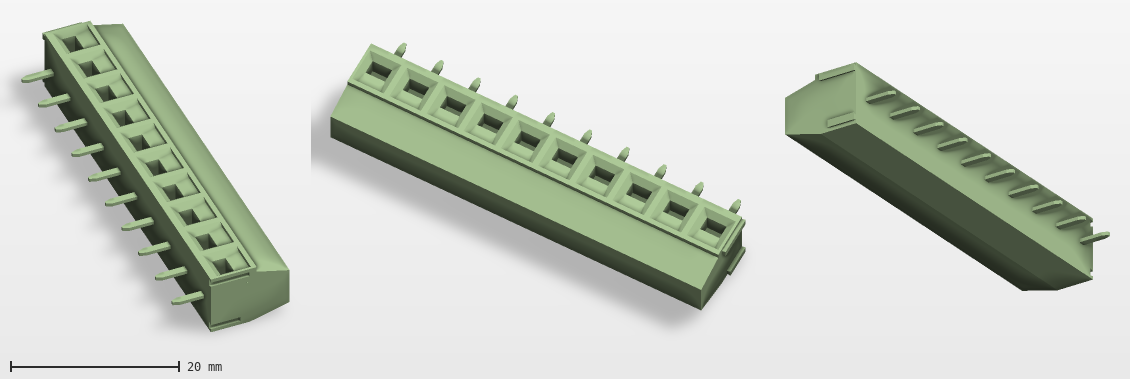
import cadquery as cq
import math


WAYS = 10
PITCH = 5.0
PIN_XS = [(way - (WAYS - 1) / 2) * PITCH for way in range(WAYS)]

HOUSING_LENGTH = 49.9
HOUSING_DEPTH = 10.15
HOUSING_HEIGHT = 8.1
TOP_LEDGE_DEPTH = 5.9
BOTTOM_FLAT_DEPTH = 5.05
LEDGE_STEP = 0.7
REAR_SLOPE = math.tan(math.radians(15))
X_LEFT = -HOUSING_LENGTH / 2
X_RIGHT = HOUSING_LENGTH / 2
Z_TOP = HOUSING_HEIGHT / 2
Z_BOTTOM = -HOUSING_HEIGHT / 2

WELL_WIDTH = 4.25
WELL_FRONT = 0.9
WELL_REAR = 5.3
FUNNEL_DEPTH = 0.65
FUNNEL_INSET = 0.8
RAMP_FOOT = 3.5
RAMP_TOP_DEPTH = 0.45
SHAFT_DEPTH = 3.05

DOVETAIL_HEIGHT = 0.5
DOVETAIL_WIDE = 0.95
DOVETAIL_NARROW = 0.6
DOVETAIL_EDGE_GAP = 0.3
TOP_DOVETAIL_LENGTH = 5.0
BOTTOM_DOVETAIL_LENGTH = 3.8

PIN_WIDTH = 0.9
PIN_THICKNESS = 0.45
PIN_LENGTH = 3.95
PIN_TIP_LENGTH = 0.75
PIN_TIP_WIDTH = 0.35
PIN_Z = -0.1

NUB_HEIGHT = 0.1
NUB_DIAMETER = 0.15
NUB_Y = 4.7
NUB_Z = 2.05


def make_housing():
    step_z = Z_TOP - LEDGE_STEP
    rear_top_z = step_z - (HOUSING_DEPTH - TOP_LEDGE_DEPTH) * REAR_SLOPE
    rear_bottom_z = Z_BOTTOM + (HOUSING_DEPTH - BOTTOM_FLAT_DEPTH) * REAR_SLOPE
    outline = [
        (0, Z_BOTTOM),
        (BOTTOM_FLAT_DEPTH, Z_BOTTOM),
        (HOUSING_DEPTH, rear_bottom_z),
        (HOUSING_DEPTH, rear_top_z),
        (TOP_LEDGE_DEPTH, step_z),
        (TOP_LEDGE_DEPTH, Z_TOP),
        (0, Z_TOP),
    ]
    return cq.Workplane("YZ", origin=(X_LEFT, 0, 0)).polyline(outline).close().extrude(HOUSING_LENGTH)


def make_well(x):
    """Cutter for one well; the side and front walls of the funnel lean in by the same amount."""
    funnel_floor = Z_TOP - FUNNEL_DEPTH
    shaft_front = WELL_FRONT + FUNNEL_INSET
    shaft_width = WELL_WIDTH - 2 * FUNNEL_INSET
    side_outline = [
        (WELL_FRONT, Z_TOP),
        (shaft_front, funnel_floor),
        (RAMP_FOOT, funnel_floor),
        (WELL_REAR, Z_TOP - RAMP_TOP_DEPTH),
        (WELL_REAR, Z_TOP),
    ]
    front_outline = [
        (x - WELL_WIDTH / 2, Z_TOP),
        (x - shaft_width / 2, funnel_floor),
        (x + shaft_width / 2, funnel_floor),
        (x + WELL_WIDTH / 2, Z_TOP),
    ]
    side = cq.Workplane("YZ", origin=(x, 0, 0)).polyline(side_outline).close()
    side = side.extrude(WELL_WIDTH / 2, both=True)
    front = cq.Workplane("XZ").polyline(front_outline).close().extrude(-HOUSING_DEPTH)
    shaft = cq.Workplane("XY").box(
        shaft_width, RAMP_FOOT - shaft_front, SHAFT_DEPTH - FUNNEL_DEPTH, centered=(True, False, False)
    )
    shaft = shaft.translate((x, shaft_front, Z_TOP - SHAFT_DEPTH))
    return side.intersect(front).union(shaft)


def make_dovetail(root_x, z, length):
    """Dovetail bar running back from the front face, widening toward -X from the root."""
    outline = [
        (root_x, z - DOVETAIL_NARROW / 2),
        (root_x, z + DOVETAIL_NARROW / 2),
        (root_x - DOVETAIL_HEIGHT, z + DOVETAIL_WIDE / 2),
        (root_x - DOVETAIL_HEIGHT, z - DOVETAIL_WIDE / 2),
    ]
    return cq.Workplane("XZ").polyline(outline).close().extrude(-length)


def make_pin(x):
    shoulder_y = -(PIN_LENGTH - PIN_TIP_LENGTH)
    outline = [
        (x - PIN_WIDTH / 2, 0),
        (x - PIN_WIDTH / 2, shoulder_y),
        (x - PIN_TIP_WIDTH / 2, -PIN_LENGTH),
        (x + PIN_TIP_WIDTH / 2, -PIN_LENGTH),
        (x + PIN_WIDTH / 2, shoulder_y),
        (x + PIN_WIDTH / 2, 0),
    ]
    pin = cq.Workplane("XY", origin=(0, 0, PIN_Z)).polyline(outline).close()
    return pin.extrude(PIN_THICKNESS / 2, both=True)


def make_nub():
    nub = cq.Workplane("YZ", origin=(X_RIGHT, NUB_Y, NUB_Z)).circle(NUB_DIAMETER / 2)
    return nub.extrude(NUB_HEIGHT)


result = make_housing()

dovetail_offset = DOVETAIL_EDGE_GAP + DOVETAIL_WIDE / 2
dovetails = [
    (Z_TOP - dovetail_offset, TOP_DOVETAIL_LENGTH),
    (Z_BOTTOM + dovetail_offset, BOTTOM_DOVETAIL_LENGTH),
]
for dovetail_z, dovetail_length in dovetails:
    result = result.union(make_dovetail(X_LEFT, dovetail_z, dovetail_length))
    result = result.cut(make_dovetail(X_RIGHT, dovetail_z, dovetail_length))

for pin_x in PIN_XS:
    result = result.cut(make_well(pin_x))
    result = result.union(make_pin(pin_x))

result = result.union(make_nub())